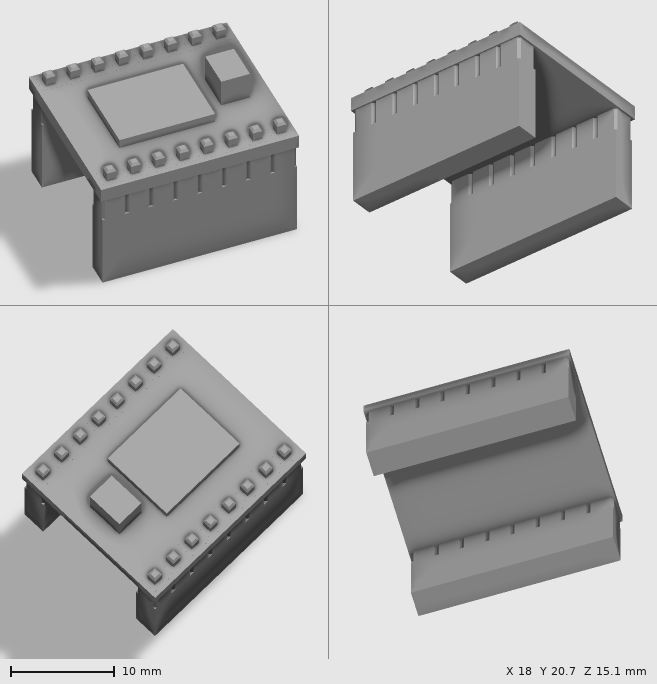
import cadquery as cq
import math

board_x = 18.03
board_y = 20.7
board_thickness = 1.5

pin_count = 8
header_y = 20.33
pin_pitch = header_y / pin_count
row_spacing = 15.13
row_center_y = 0.05
header_x = pin_pitch
spacer_chamfer = 0.27

socket_height = 8.01
spacer_height = pin_pitch
board_bottom = socket_height + spacer_height
board_top = board_bottom + board_thickness

pin_side = 1.0
pin_shank_height = 1.0
pin_tip_height = 0.25
pin_tip_inset = 0.2
pad_side = 2.0
pad_thickness = 0.01

chip_x = 8.0
chip_y = 10.0
chip_height = 1.0
chip_center_y = -1.32

button_x = 4.0
button_y = 3.0
button_height = 3.0
button_center_y = 6.65

row_centers = [(side * row_spacing / 2, row_center_y) for side in (-1, 1)]
first_pin_y = row_center_y - (pin_count - 1) * pin_pitch / 2
pin_centers = [(x, first_pin_y + i * pin_pitch) for x, _ in row_centers for i in range(pin_count)]


def block(centers, size_x, size_y, bottom, height, taper=0):
    """Upright blocks of one size, one at each (x, y) center."""
    plane = cq.Workplane("XY").workplane(offset=bottom)
    return plane.pushPoints(centers).rect(size_x, size_y).extrude(height, taper=taper)


def spacers():
    """Header cells with chamfered upright corners; neighbours touch face to face."""
    cells = cq.Workplane("XY")
    for center in pin_centers:
        cell = block([center], header_x, pin_pitch, socket_height, spacer_height)
        cells = cells.union(cell.edges("|Z").chamfer(spacer_chamfer))
    return cells


def pins():
    """Square shanks standing on the board, each ending in a tapered tip."""
    tip_angle = math.degrees(math.atan2(pin_tip_inset, pin_tip_height))
    shank_top = board_top + pin_shank_height
    shanks = block(pin_centers, pin_side, pin_side, board_top, pin_shank_height)
    tips = block(pin_centers, pin_side, pin_side, shank_top, pin_tip_height, tip_angle)
    return shanks.union(tips)


board = block([(0, 0)], board_x, board_y, board_bottom, board_thickness)
sockets = block(row_centers, header_x, header_y, 0, socket_height)
pads = block(pin_centers, pad_side, pad_side, board_top, pad_thickness)
chip = block([(0, chip_center_y)], chip_x, chip_y, board_top, chip_height)
button = block([(0, button_center_y)], button_x, button_y, board_top, button_height)

result = board.union(spacers()).union(sockets).union(pads).union(pins()).union(chip).union(button)